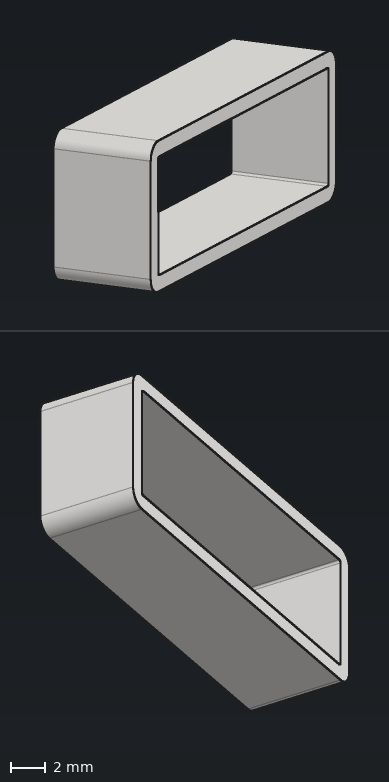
import cadquery as cq

width = 6.25
length = 24.0
height = 9.0
wall = 0.98
outer_radius = 0.98
inner_radius = 0.15


def rounded_bar(size_y, size_z, radius):
    """Bar along X, centred on the origin, with its long edges rounded."""
    return cq.Workplane("XY").box(width, size_y, size_z).edges("|X").fillet(radius)


outer_body = rounded_bar(length, height, outer_radius)
opening = rounded_bar(length - 2 * wall, height - 2 * wall, inner_radius)

result = outer_body.cut(opening)